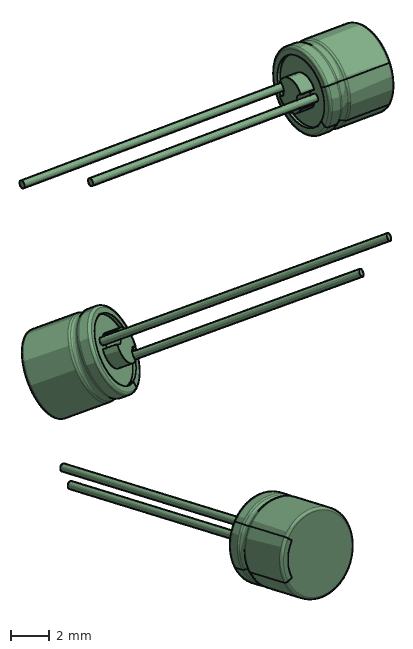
import cadquery as cq

can_diameter = 5.0
overall_body_length = 5.0
standoff_height = 0.7
rim_fillet = 0.15
mark_angle = 60.0

groove_width = 0.5
groove_depth = 0.13
groove_offset_from_rim = 1.03
groove_lip_fillet = 0.2

seal_diameter = 4.05
seal_recess = 0.2
standoff_diameter = 2.0
lead_notch_diameter = 0.9

lead_pitch = 2.0
lead_diameter = 0.45
long_lead_reach = 17.0
short_lead_reach = 14.0

can_radius = can_diameter / 2
seal_radius = seal_diameter / 2
rim_y = standoff_height
can_end_y = overall_body_length
seal_face_y = rim_y + seal_recess
groove_y = rim_y + groove_offset_from_rim
seal_inner_y = groove_y + groove_width / 2
lead_positions = [-lead_pitch / 2, lead_pitch / 2]


def disc(diameter, start_y, end_y, x=0.0):
    """Cylinder along Y between two Y positions."""
    plane = cq.Workplane("XZ", origin=(x, start_y, 0))
    return plane.circle(diameter / 2).extrude(start_y - end_y)


def make_can_envelope():
    """Full round can with its crimp groove and rounded rims, before the seal pocket."""
    profile = (
        cq.Workplane("XY")
        .moveTo(0, rim_y)
        .lineTo(can_radius, rim_y)
        .lineTo(can_radius, groove_y - groove_width / 2)
        .threePointArc(
            (can_radius - groove_depth, groove_y),
            (can_radius, groove_y + groove_width / 2),
        )
        .lineTo(can_radius, can_end_y)
        .lineTo(0, can_end_y)
        .close()
    )
    envelope = profile.revolve(360, (0, 0, 0), (0, 1, 0))
    envelope = envelope.faces("<Y or >Y").edges().fillet(rim_fillet)
    margin = groove_width / 2 + groove_lip_fillet
    lip_edges = cq.selectors.BoxSelector(
        (-can_diameter, groove_y - margin, -can_diameter),
        (can_diameter, groove_y + margin, can_diameter),
    )
    return envelope.edges(lip_edges).edges("%CIRCLE").fillet(groove_lip_fillet)


def make_mark_sector():
    """Ring sector centred on +X that separates the polarity mark from the can."""
    sector = (
        cq.Workplane("XY")
        .moveTo(seal_radius, rim_y)
        .lineTo(can_diameter, rim_y)
        .lineTo(can_diameter, can_end_y)
        .lineTo(seal_radius, can_end_y)
        .close()
        .revolve(mark_angle, (0, 0, 0), (0, 1, 0))
    )
    return sector.rotate((0, 0, 0), (0, 1, 0), -mark_angle / 2)


def make_can():
    seal_pocket = disc(seal_diameter, rim_y, seal_inner_y)
    return make_can_envelope().cut(seal_pocket).cut(make_mark_sector())


def make_polarity_mark():
    return make_can_envelope().intersect(make_mark_sector())


def make_seal():
    """Seal disc with a standoff notched around each lead."""
    plug = disc(seal_diameter, seal_face_y, seal_inner_y)
    standoff = disc(standoff_diameter, 0, seal_face_y)
    for x in lead_positions:
        standoff = standoff.cut(disc(lead_notch_diameter, 0, seal_face_y, x))
    return plug.union(standoff)


def make_lead(x, reach):
    return disc(lead_diameter, -reach, seal_face_y, x)


can = make_can()
polarity_mark = make_polarity_mark()
seal = make_seal()
leads = [
    make_lead(x, reach)
    for x, reach in zip(lead_positions, [long_lead_reach, short_lead_reach])
]

result = cq.Compound.makeCompound(
    [can.val(), polarity_mark.val(), seal.val(), *[lead.val() for lead in leads]]
)